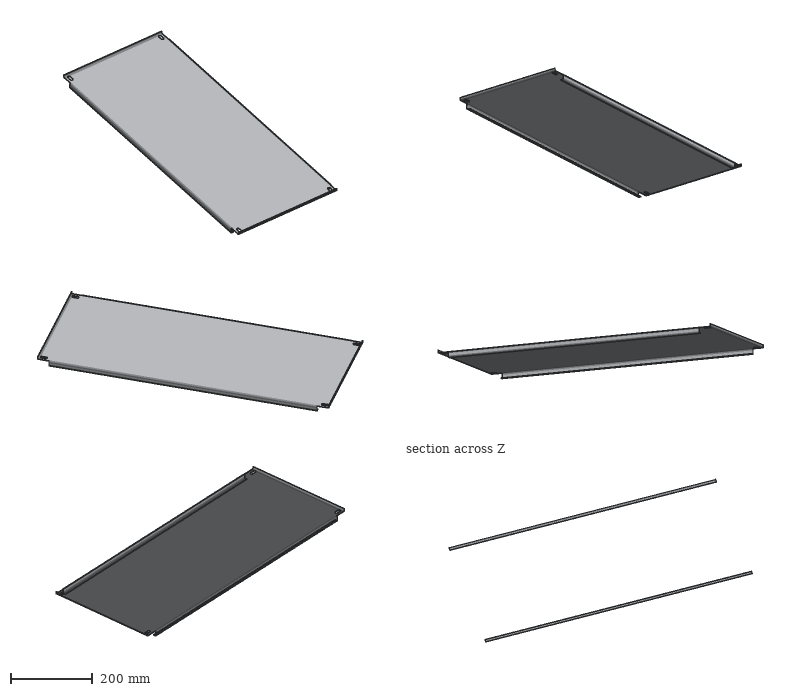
import cadquery as cq

length = 745.0
depth = 300.0
height = 21.0

sheet = 1.5
inner_radius = 1.5
outer_radius = inner_radius + sheet

end_flange_height = 7.5
rail_length = 685.5
lip_width = 8.0

slot_length = 17.0
slot_width = 7.0
slot_spacing_x = 719.0
slot_spacing_y = 273.0

plate_depth = depth - 2 * outer_radius
rail_height = height - end_flange_height + sheet


def end_folded_plate():
    """Flat plate with both ends bent upward, extruded along Y."""
    outer = (
        cq.Workplane("XY")
        .box(length, plate_depth, end_flange_height, centered=(True, True, False))
        .edges("|Y and <Z")
        .fillet(outer_radius)
    )
    inner = (
        cq.Workplane("XY")
        .workplane(offset=sheet)
        .box(length - 2 * sheet, plate_depth, end_flange_height, centered=(True, True, False))
        .edges("|Y and <Z")
        .fillet(inner_radius)
    )
    return outer.cut(inner)


def folded_rails():
    """C-shaped channel, open below between the lips, extruded along X."""
    outer = (
        cq.Workplane("XY")
        .workplane(offset=sheet - rail_height)
        .box(rail_length, depth, rail_height, centered=(True, True, False))
        .edges("|X")
        .fillet(outer_radius)
    )
    inner = (
        cq.Workplane("XY")
        .workplane(offset=2 * sheet - rail_height)
        .box(rail_length, depth - 2 * sheet, rail_height - 2 * sheet, centered=(True, True, False))
        .edges("|X")
        .fillet(inner_radius)
    )
    lip_gap = (
        cq.Workplane("XY")
        .workplane(offset=sheet - rail_height)
        .box(rail_length, depth - 2 * lip_width, sheet, centered=(True, True, False))
    )
    return outer.cut(inner).cut(lip_gap)


def mounting_slots():
    """Cutters for one slot at each corner of the plate."""
    return (
        cq.Workplane("XY")
        .rarray(slot_spacing_x, slot_spacing_y, 2, 2)
        .slot2D(slot_length, slot_width)
        .extrude(sheet)
    )


result = end_folded_plate().union(folded_rails()).cut(mounting_slots())